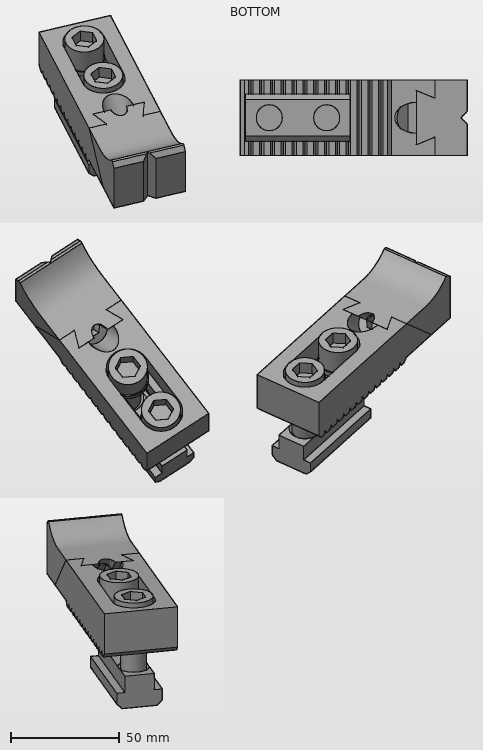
import cadquery as cq
import math


CLAMP_LENGTH = 105.0
CLAMP_WIDTH = 35.0
BODY_HEIGHT = 20.0
JOINT_TOP_X = 70.0
JOINT_BOTTOM_X = JOINT_TOP_X + BODY_HEIGHT

TOOTH_HEIGHT = 2.2
TOOTH_PITCH = 5.0
GROOVE_WIDTH = 2.0
GROOVE_DEPTH = 1.9
END_BEVEL = 2.0
SERRATION_LENGTH = 70.0

DOVETAIL_DEPTH = 6.0
DOVETAIL_ANGLE = 60.0
DOVETAIL_NECK = 18.0
DOVETAIL_RUN = DOVETAIL_DEPTH * math.sqrt(2)
DOVETAIL_FLARE = DOVETAIL_DEPTH / math.tan(math.radians(DOVETAIL_ANGLE))
DOVETAIL_END = DOVETAIL_NECK + 2 * DOVETAIL_FLARE

NOSE_HEIGHT = 6.99
NOSE_ARC_START_X = 85.0
NOSE_ARC_RADIUS = 23.0
NOSE_BEVEL = 2.2
NOTCH_DEPTH = 3.0

AXIS_TOP_X = JOINT_TOP_X - DOVETAIL_RUN
ADJUSTER_DIAMETER = 14.2
ADJUSTER_START = 8.7
ADJUSTER_LENGTH = 14.0
ADJUSTER_HEX = 6.0
ADJUSTER_HEX_DEPTH = 6.0
KEY_HOLE_DIAMETER = 7.5

SCREW_X = 13.5
SCREW_SPACING = 26.5
SCREW_DIAMETER = 12.0
HEAD_DIAMETER = 18.0
HEAD_HEIGHT = 12.0
HEAD_PROUD = 2.0
SCREW_HEX = 10.0
SCREW_HEX_DEPTH = 6.0
FLANGE_DIAMETER = 19.2
FLANGE_THICKNESS = 2.5
FLANGE_TOP_Z = HEAD_PROUD - HEAD_HEIGHT
SLOT_FLOOR_Z = FLANGE_TOP_Z - FLANGE_THICKNESS
SLOT_WIDTH = 13.0
RECESS_WIDTH = 20.0

HEX_TURN = 30.0

NUT_LENGTH = 48.2
NUT_START_X = 2.6
NUT_TOP_Z = -33.0
NUT_HEIGHT = 16.0
NUT_STEM_WIDTH = 14.1
NUT_BASE_WIDTH = 21.8
NUT_BASE_HEIGHT = 7.9
NUT_BEVEL = 2.5
COUNTERSINK_DIAMETER = 14.6
NUT_BOTTOM_Z = NUT_TOP_Z - NUT_HEIGHT

SCREW_POSITIONS = [SCREW_X, SCREW_X + SCREW_SPACING]


def prism_across(profile):
    """Extrude an XZ profile over the full clamp width."""
    return profile.extrude(CLAMP_WIDTH / 2, both=True)


def adjuster_cylinder(diameter, start, length):
    """Cylinder on the adjusting screw axis, running down at 45 degrees toward +X."""
    step = start / math.sqrt(2)
    plane = cq.Plane(origin=(AXIS_TOP_X + step, 0, -step), xDir=(0, 1, 0), normal=(1, 0, -1))
    return cq.Workplane(plane).circle(diameter / 2).extrude(length)


def dovetail_tongue():
    """Dovetail swept along the 45 degree joint, cut level with the top and bottom faces."""
    section = [
        (JOINT_TOP_X, -DOVETAIL_NECK / 2),
        (JOINT_TOP_X - DOVETAIL_RUN, -DOVETAIL_END / 2),
        (JOINT_TOP_X - DOVETAIL_RUN, DOVETAIL_END / 2),
        (JOINT_TOP_X, DOVETAIL_NECK / 2),
    ]
    wire = cq.Wire.makePolygon([cq.Vector(x, y, 0) for x, y in section], close=True)
    return cq.Workplane(cq.Solid.extrudeLinear(wire, [], cq.Vector(BODY_HEIGHT, 0, -BODY_HEIGHT)))


def screw_slot(width, bottom_z, top_z):
    """Obround prism around both clamping screws."""
    return (
        cq.Workplane("XY", origin=(SCREW_X + SCREW_SPACING / 2, 0, bottom_z))
        .slot2D(SCREW_SPACING + width, width)
        .extrude(top_z - bottom_z)
    )


def make_block():
    tooth_z = -BODY_HEIGHT - TOOTH_HEIGHT
    block = prism_across(
        cq.Workplane("XZ").polyline([
            (0, 0),
            (JOINT_TOP_X, 0),
            (JOINT_BOTTOM_X, -BODY_HEIGHT),
            (SERRATION_LENGTH, -BODY_HEIGHT),
            (SERRATION_LENGTH - END_BEVEL, tooth_z),
            (END_BEVEL, tooth_z),
            (0, -BODY_HEIGHT),
        ]).close()
    )
    groove_count = round(SERRATION_LENGTH / TOOTH_PITCH) - 1
    for i in range(1, groove_count + 1):
        x = i * TOOTH_PITCH
        groove = cq.Workplane("XZ").polyline([
            (x - GROOVE_WIDTH / 2, tooth_z),
            (x, tooth_z + GROOVE_DEPTH),
            (x + GROOVE_WIDTH / 2, tooth_z),
        ]).close()
        block = block.cut(prism_across(groove))
    block = block.cut(screw_slot(SLOT_WIDTH, tooth_z, 0))
    block = block.cut(screw_slot(RECESS_WIDTH, SLOT_FLOOR_Z, 0))
    block = block.cut(dovetail_tongue())
    bore_overrun = ADJUSTER_DIAMETER
    bore_length = BODY_HEIGHT * math.sqrt(2) + 2 * bore_overrun
    return block.cut(adjuster_cylinder(ADJUSTER_DIAMETER, -bore_overrun, bore_length))


def make_jaw():
    arc_rise = NOSE_ARC_RADIUS - NOSE_HEIGHT
    arc_end_x = NOSE_ARC_START_X + math.sqrt(NOSE_ARC_RADIUS**2 - arc_rise**2)
    half_angle = math.acos(arc_rise / NOSE_ARC_RADIUS) / 2
    arc_middle = (
        NOSE_ARC_START_X + NOSE_ARC_RADIUS * math.sin(half_angle),
        NOSE_ARC_RADIUS * (1 - math.cos(half_angle)),
    )
    jaw = prism_across(
        cq.Workplane("XZ")
        .moveTo(JOINT_TOP_X, 0)
        .lineTo(NOSE_ARC_START_X, 0)
        .threePointArc(arc_middle, (arc_end_x, NOSE_HEIGHT))
        .lineTo(CLAMP_LENGTH - NOSE_BEVEL, NOSE_HEIGHT)
        .lineTo(CLAMP_LENGTH, NOSE_HEIGHT - NOSE_BEVEL)
        .lineTo(CLAMP_LENGTH, -BODY_HEIGHT)
        .lineTo(JOINT_BOTTOM_X, -BODY_HEIGHT)
        .close()
    )
    jaw = jaw.union(dovetail_tongue())
    notch = (
        cq.Workplane("XY", origin=(0, 0, -BODY_HEIGHT))
        .polyline([
            (CLAMP_LENGTH - NOTCH_DEPTH, 0),
            (CLAMP_LENGTH, NOTCH_DEPTH),
            (CLAMP_LENGTH, -NOTCH_DEPTH),
        ])
        .close()
        .extrude(BODY_HEIGHT + NOSE_HEIGHT)
    )
    jaw = jaw.cut(notch)
    jaw = jaw.cut(adjuster_cylinder(ADJUSTER_DIAMETER, ADJUSTER_START, ADJUSTER_LENGTH))
    key_overrun = KEY_HOLE_DIAMETER
    return jaw.cut(adjuster_cylinder(KEY_HOLE_DIAMETER, -key_overrun, ADJUSTER_START + key_overrun))


def make_adjuster():
    """Headless screw held lengthwise in the jaw pocket, with a hexagon socket at its upper end."""
    screw = adjuster_cylinder(ADJUSTER_DIAMETER, ADJUSTER_START, ADJUSTER_LENGTH)
    return (
        screw.faces("<(1, 0, -1)")
        .workplane(centerOption="CenterOfMass")
        .transformed(rotate=(0, 0, HEX_TURN))
        .polygon(6, ADJUSTER_HEX, circumscribed=True)
        .cutBlind(-ADJUSTER_HEX_DEPTH)
    )


def make_screw(x):
    """Socket head screw with a flange under its head, reaching down to the nut's bottom face."""
    shank = (
        cq.Workplane("XY", origin=(x, 0, NUT_BOTTOM_Z))
        .circle(SCREW_DIAMETER / 2)
        .extrude(FLANGE_TOP_Z - NUT_BOTTOM_Z)
    )
    flange = (
        cq.Workplane("XY", origin=(x, 0, SLOT_FLOOR_Z))
        .circle(FLANGE_DIAMETER / 2)
        .extrude(FLANGE_THICKNESS)
    )
    head = (
        cq.Workplane("XY", origin=(x, 0, FLANGE_TOP_Z))
        .circle(HEAD_DIAMETER / 2)
        .extrude(HEAD_HEIGHT)
        .faces(">Z")
        .workplane()
        .transformed(rotate=(0, 0, HEX_TURN))
        .polygon(6, SCREW_HEX, circumscribed=True)
        .cutBlind(-SCREW_HEX_DEPTH)
    )
    return shank.union(flange).union(head)


def make_nut():
    stem = NUT_STEM_WIDTH / 2
    base = NUT_BASE_WIDTH / 2
    shoulder_z = NUT_BOTTOM_Z + NUT_BASE_HEIGHT
    nut = (
        cq.Workplane("YZ", origin=(NUT_START_X, 0, 0))
        .polyline([
            (-stem, NUT_TOP_Z),
            (stem, NUT_TOP_Z),
            (stem, shoulder_z),
            (base, shoulder_z),
            (base, NUT_BOTTOM_Z + NUT_BEVEL),
            (base - NUT_BEVEL, NUT_BOTTOM_Z),
            (NUT_BEVEL - base, NUT_BOTTOM_Z),
            (-base, NUT_BOTTOM_Z + NUT_BEVEL),
            (-base, shoulder_z),
            (-stem, shoulder_z),
        ])
        .close()
        .extrude(NUT_LENGTH)
    )
    return (
        nut.faces(">Z")
        .workplane(origin=(0, 0, NUT_TOP_Z))
        .pushPoints([(x, 0) for x in SCREW_POSITIONS])
        .cskHole(SCREW_DIAMETER, COUNTERSINK_DIAMETER, 90)
    )


block = make_block()
jaw = make_jaw()
adjuster = make_adjuster()
screws = [make_screw(x) for x in SCREW_POSITIONS]
nut = make_nut()

result = cq.Compound.makeCompound(
    [block.val(), jaw.val(), adjuster.val(), *[screw.val() for screw in screws], nut.val()]
)